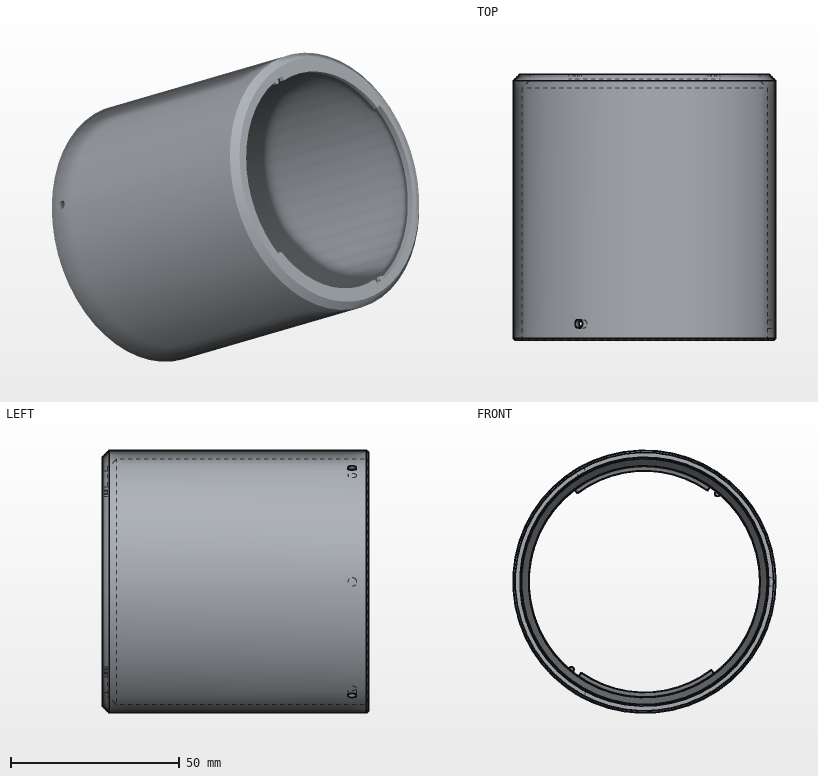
import cadquery as cq
import math

length = 79.05
outer_radius = 78.0 / 2
mouth_radius = 73.0 / 2
throat_radius = 68.5 / 2
front_chamfer = 0.6
mouth_chamfer = 0.5
back_chamfer = 2.05
throat_length = 2.05
throat_ledge = 0.15

lug_inner_radius = 32.9
lug_span = 72.0
lug_tilt = 1.2
lug_thickness = 1.4

pin_diameter = 1.6
pin_circle_radius = 33.9
pin_angle = 50.3

hole_diameter = 2.5
hole_setback = 4.9
hole_count = 3

front_y = -length / 2
back_y = length / 2


def polar(radius, degrees):
    angle = math.radians(degrees)
    return radius * math.cos(angle), radius * math.sin(angle)


def sleeve():
    """Revolved wall with a straight bore, narrowed at the back by a 45 degree cone."""
    throat_y = back_y - throat_length
    cone_radius = throat_radius + throat_ledge
    cone_length = mouth_radius - cone_radius
    profile = [
        (mouth_radius + mouth_chamfer, front_y),
        (outer_radius - front_chamfer, front_y),
        (outer_radius, front_y + front_chamfer),
        (outer_radius, back_y - back_chamfer),
        (outer_radius - back_chamfer, back_y),
        (throat_radius, back_y),
        (throat_radius, throat_y),
        (cone_radius, throat_y),
        (mouth_radius, throat_y - cone_length),
        (mouth_radius, front_y + mouth_chamfer),
    ]
    return cq.Workplane("XY").polyline(profile).close().revolve(360, (0, 0), (0, 1))


def back_plane():
    """Plane on the back end; extrusions run towards the front."""
    return cq.Workplane("XZ", origin=(0, back_y, 0))


def lug(middle_angle):
    """Arc-shaped lug, rooted in the middle of the wall."""
    root_radius = (throat_radius + outer_radius - back_chamfer) / 2
    start = middle_angle - lug_span / 2
    end = middle_angle + lug_span / 2
    return (
        back_plane()
        .moveTo(*polar(lug_inner_radius, start))
        .threePointArc(polar(lug_inner_radius, middle_angle), polar(lug_inner_radius, end))
        .lineTo(*polar(root_radius, end))
        .threePointArc(polar(root_radius, middle_angle), polar(root_radius, start))
        .close()
        .extrude(lug_thickness)
    )


def stop_pin(angle):
    return (
        back_plane()
        .center(*polar(pin_circle_radius, angle))
        .circle(pin_diameter / 2)
        .extrude(lug_thickness)
    )


def radial_hole(angle):
    """Cutter through one side of the wall, turned about the sleeve axis."""
    cutter = (
        cq.Workplane("YZ")
        .center(front_y + hole_setback, 0)
        .circle(hole_diameter / 2)
        .extrude(2 * outer_radius)
    )
    return cutter.rotate((0, 0, 0), (0, 1, 0), angle)


result = sleeve()
for side in (0, 180):
    result = result.union(lug(90 + lug_tilt + side))
    result = result.union(stop_pin(pin_angle + side))
for index in range(hole_count):
    result = result.cut(radial_hole(index * 360 / hole_count))